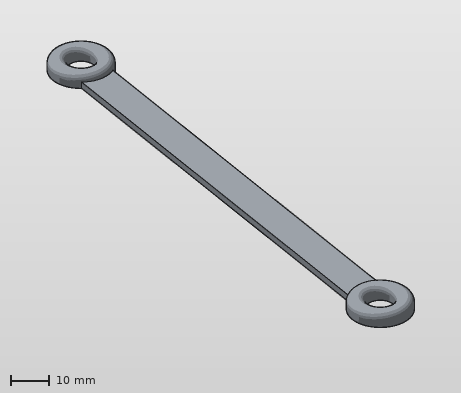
import cadquery as cq

overall_length = 156.0
ring_diameter = 18.0
hole_diameter = 8.0
ring_height = 4.0
strap_width = 10.0
strap_thickness = ring_height / 2
edge_radius = ring_height - strap_thickness

hole_spacing = overall_length - ring_diameter
ring_centers = [(-hole_spacing / 2, 0), (hole_spacing / 2, 0)]


def rounded_disc(center):
    """End disc with a rounded top outer edge."""
    disc = cq.Workplane("XY").center(*center).circle(ring_diameter / 2).extrude(ring_height)
    return disc.faces(">Z").edges().fillet(edge_radius)


def hole_cutter(center):
    """Through hole whose mouth flares out in a convex round at the top."""
    hole_radius = hole_diameter / 2
    mouth_radius = hole_radius + edge_radius
    arc_offset = edge_radius * 0.5 ** 0.5
    arc_middle = (mouth_radius - arc_offset, strap_thickness + arc_offset)
    profile = (
        cq.Workplane("XZ")
        .lineTo(hole_radius, 0)
        .lineTo(hole_radius, strap_thickness)
        .threePointArc(arc_middle, (mouth_radius, ring_height))
        .lineTo(0, ring_height)
        .close()
    )
    return profile.revolve(360, (0, 0, 0), (0, 1, 0)).translate((*center, 0))


result = cq.Workplane("XY").box(
    hole_spacing, strap_width, strap_thickness, centered=(True, True, False)
)

for ring_center in ring_centers:
    result = result.union(rounded_disc(ring_center))
    result = result.cut(hole_cutter(ring_center))